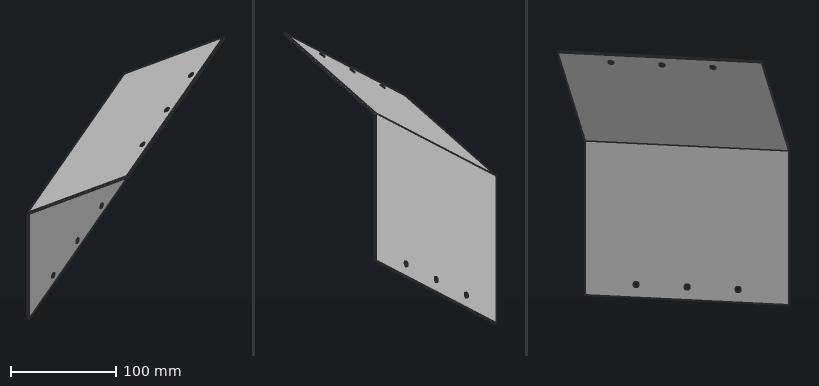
import cadquery as cq
import math

height = 256.0
width = 200.0
thickness = 2.0
bend_angle = 45.0
hole_diameter = 5.0
hole_edge_distance = 12.5
holes_per_leg = 3

lean = math.radians(bend_angle)
leg_length = height / (1 + math.cos(lean))
hole_pitch = width / (holes_per_leg + 1)

inner_bend_drop = thickness * math.tan(lean / 2)
outer_tip = (leg_length * math.sin(lean), height)
inner_tip = (
    outer_tip[0] + thickness * math.cos(lean),
    outer_tip[1] - thickness * math.sin(lean),
)


def bent_sheet():
    """Sheet profile in XZ, extruded symmetrically along Y."""
    return (
        cq.Workplane("XZ")
        .moveTo(0, 0)
        .lineTo(0, leg_length)
        .lineTo(*outer_tip)
        .lineTo(*inner_tip)
        .lineTo(thickness, leg_length - inner_bend_drop)
        .lineTo(thickness, 0)
        .close()
        .extrude(width / 2, both=True)
    )


def hole_row(x, z, inward):
    """Row of through-hole cutters, centred on Y, drilled inward from the outer face."""
    face = cq.Plane(origin=(x, 0, z), xDir=(0, 1, 0), normal=inward)
    return (
        cq.Workplane(face)
        .rarray(hole_pitch, 2.5, holes_per_leg, 1)
        .circle(hole_diameter / 2)
        .extrude(2 * thickness, both=True)
    )


lower_holes = hole_row(0, hole_edge_distance, (1, 0, 0))
upper_holes = hole_row(
    outer_tip[0] - hole_edge_distance * math.sin(lean),
    outer_tip[1] - hole_edge_distance * math.cos(lean),
    (math.cos(lean), 0, -math.sin(lean)),
)

result = bent_sheet().cut(lower_holes).cut(upper_holes)